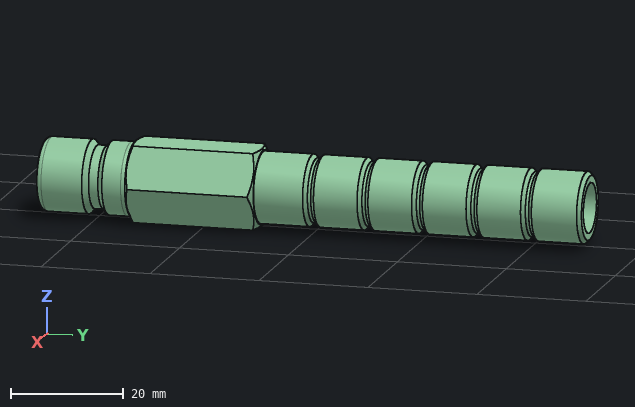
import cadquery as cq
import math

total_length = 100.0
bore_radius = 4.5

plug_radius = 6.7
plug_edge_round = 1.0
neck_radius = 5.7
neck_start = 8.5
neck_end = 12.2
neck_chamfer = plug_radius - neck_radius
relief_radius = 6.6
relief_start = 15.6

hex_across_flats = 14.0
hex_across_corners = hex_across_flats / math.cos(math.pi / 6)
hex_start = 16.4
hex_end = 40.0
hex_chamfer_angle = math.radians(30)
hex_end_radius = hex_across_flats / 2 - 0.3

barrel_radius = 6.5
barrel_end_chamfer = 0.7
groove_count = 5
groove_pitch = 10.0
groove_width = 2.0
groove_depth = 0.7


def revolve_about_y(profile):
    return profile.close().revolve(360, (0, 0, 0), (0, 1, 0))


def make_plug():
    """Plug with a rounded mouth, a chamfered neck and a shallow relief at the hexagon."""
    corner_offset = plug_edge_round * (1 - math.sqrt(0.5))
    profile = (
        cq.Workplane("XY")
        .lineTo(plug_radius - plug_edge_round, 0)
        .threePointArc((plug_radius - corner_offset, corner_offset), (plug_radius, plug_edge_round))
        .lineTo(plug_radius, neck_start)
        .lineTo(neck_radius, neck_start + neck_chamfer)
        .lineTo(neck_radius, neck_end - neck_chamfer)
        .lineTo(plug_radius, neck_end)
        .lineTo(plug_radius, relief_start)
        .lineTo(relief_radius, hex_start)
        .lineTo(0, hex_start)
    )
    return revolve_about_y(profile)


def make_hexagon():
    """Hexagon with corners on the X axis, both ends trimmed by a cone."""
    length = hex_end - hex_start
    prism = (
        cq.Workplane("XZ", origin=(0, hex_start, 0))
        .polygon(6, hex_across_corners)
        .extrude(-length)
    )
    corner_radius = hex_across_corners / 2
    cone_length = (corner_radius - hex_end_radius) * math.tan(hex_chamfer_angle)
    envelope = revolve_about_y(
        cq.Workplane("XY")
        .moveTo(0, hex_start)
        .lineTo(hex_end_radius, hex_start)
        .lineTo(corner_radius, hex_start + cone_length)
        .lineTo(corner_radius, hex_end - cone_length)
        .lineTo(hex_end_radius, hex_end)
        .lineTo(0, hex_end)
    )
    return prism.intersect(envelope)


def make_barrel():
    """Barrel with a chamfered end and evenly spaced grooves with sloped sides."""
    profile = cq.Workplane("XY").moveTo(0, hex_end).lineTo(barrel_radius, hex_end)
    for index in range(groove_count, 0, -1):
        groove_center = total_length - index * groove_pitch
        start = groove_center - groove_width / 2
        end = groove_center + groove_width / 2
        profile = (
            profile.lineTo(barrel_radius, start)
            .lineTo(barrel_radius - groove_depth, start + groove_depth)
            .lineTo(barrel_radius - groove_depth, end - groove_depth)
            .lineTo(barrel_radius, end)
        )
    profile = (
        profile.lineTo(barrel_radius, total_length - barrel_end_chamfer)
        .lineTo(barrel_radius - barrel_end_chamfer, total_length)
        .lineTo(0, total_length)
    )
    return revolve_about_y(profile)


bore = cq.Workplane("XZ").circle(bore_radius).extrude(-total_length)
result = make_plug().union(make_hexagon()).union(make_barrel()).cut(bore)